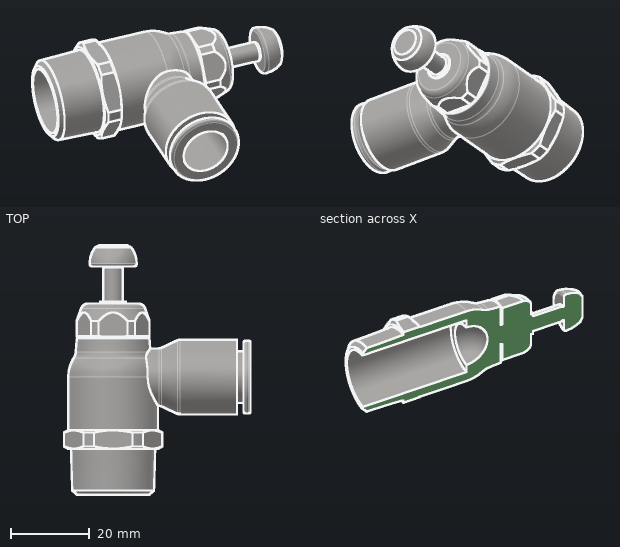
import cadquery as cq
import math


full_turn = 360
hex_sides = 6

thread_end = -29.85
thread_chamfer_top = -28.7
thread_chamfer_radius = 9.1
thread_end_radius = 10.4
thread_root_radius = 10.7
collar_bottom = -18.15
collar_top = -13.45
collar_flats = 23.0
collar_corner_radius = 12.5
collar_face_radius = 11.4
collar_chamfer = 0.6

body_radius = 11.4
shoulder_bottom = 0.0
shoulder_top = 4.8
shoulder_top_radius = 10.0
throat_bottom = 6.3
throat_bottom_radius = 9.5
body_top = 9.95
body_top_radius = 9.25
body_top_chamfer = 0.4
body_top_chamfer_width = 0.15

cap_neck_radius = 3.2
cap_bottom = 10.3
cap_cone_bottom = 14.2
cap_cone_top = 17.35
cap_top = 18.65
cap_flats = 17.0
cap_corner_radius = 9.25
cap_shoulder_radius = 8.15
cap_top_radius = 6.6

stem_flange_radius = 3.3
stem_flange_top = 19.2
stem_radius = 2.5
stem_top = 27.7
stem_groove_radius = 2.25
knob_bottom = 28.0
knob_radius = 6.0
knob_rim_radius = 5.25
knob_rim_top = 28.75
knob_shoulder = 32.8
knob_shoulder_radius = 4.65
knob_top = 33.45
knob_top_radius = 3.4

branch_neck_radius = 7.3
branch_cone_start = 11.95
branch_cone_end = 16.6
branch_radius = 9.5
branch_blend_radius = 1.7
branch_end = 31.4
release_neck_radius = 6.6
release_start = 33.0
release_end = 34.85
release_radius = 9.25
release_edge = 0.6

main_bore_radius = 8.3
main_bore_floor = 0.0
branch_bore_radius = 6.0


def revolve_about_y(outline):
    """Revolve a closed radius/station outline about the main axis."""
    return outline.close().revolve(full_turn, (0, 0, 0), (0, 1, 0))


def hex_prism(flats, bottom, top):
    """Hexagon along Y with one pair of flats facing +Z and -Z."""
    corner_diameter = flats / math.cos(math.pi / hex_sides)
    return (
        cq.Workplane("XZ", origin=(0, bottom, 0))
        .polygon(hex_sides, corner_diameter)
        .extrude(bottom - top)
    )


def make_threaded_end():
    return revolve_about_y(
        cq.Workplane("XY")
        .moveTo(0, thread_end)
        .lineTo(thread_chamfer_radius, thread_end)
        .lineTo(thread_end_radius, thread_chamfer_top)
        .lineTo(thread_root_radius, collar_bottom)
        .lineTo(0, collar_bottom)
    )


def make_collar():
    turned = revolve_about_y(
        cq.Workplane("XY")
        .moveTo(0, collar_bottom)
        .lineTo(collar_face_radius, collar_bottom)
        .lineTo(collar_corner_radius, collar_bottom + collar_chamfer)
        .lineTo(collar_corner_radius, collar_top - collar_chamfer)
        .lineTo(collar_face_radius, collar_top)
        .lineTo(0, collar_top)
    )
    return turned.intersect(hex_prism(collar_flats, collar_bottom, collar_top))


def make_body():
    return revolve_about_y(
        cq.Workplane("XY")
        .moveTo(0, collar_top)
        .lineTo(body_radius, collar_top)
        .lineTo(body_radius, shoulder_bottom)
        .tangentArcPoint((shoulder_top_radius, shoulder_top), relative=False)
        .tangentArcPoint((throat_bottom_radius, throat_bottom), relative=False)
        .lineTo(body_top_radius, body_top - body_top_chamfer)
        .lineTo(body_top_radius - body_top_chamfer_width, body_top)
        .lineTo(0, body_top)
    )


def make_cap():
    cap_neck = revolve_about_y(
        cq.Workplane("XY")
        .moveTo(0, body_top)
        .lineTo(cap_neck_radius, body_top)
        .lineTo(cap_neck_radius, cap_bottom)
        .lineTo(0, cap_bottom)
    )
    turned = revolve_about_y(
        cq.Workplane("XY")
        .moveTo(0, cap_bottom)
        .lineTo(cap_corner_radius, cap_bottom)
        .lineTo(cap_corner_radius, cap_cone_bottom)
        .lineTo(cap_shoulder_radius, cap_cone_top)
        .tangentArcPoint((cap_top_radius, cap_top), relative=False)
        .lineTo(0, cap_top)
    )
    return cap_neck.union(turned.intersect(hex_prism(cap_flats, cap_bottom, cap_top)))


def make_stem_and_knob():
    return revolve_about_y(
        cq.Workplane("XY")
        .moveTo(0, cap_top)
        .lineTo(stem_flange_radius, cap_top)
        .lineTo(stem_flange_radius, stem_flange_top)
        .lineTo(stem_radius, stem_flange_top)
        .lineTo(stem_radius, stem_top)
        .lineTo(stem_groove_radius, stem_top)
        .lineTo(stem_groove_radius, knob_bottom)
        .lineTo(knob_rim_radius, knob_bottom)
        .tangentArcPoint((knob_radius, knob_rim_top), relative=False)
        .tangentArcPoint((knob_shoulder_radius, knob_shoulder), relative=False)
        .lineTo(knob_top_radius, knob_top)
        .lineTo(0, knob_top)
    )


def make_branch():
    sleeve = (
        cq.Workplane("XY")
        .lineTo(0, branch_neck_radius)
        .lineTo(branch_cone_start, branch_neck_radius)
        .lineTo(branch_cone_end, branch_radius)
        .lineTo(branch_end, branch_radius)
        .lineTo(branch_end, 0)
        .close()
        .revolve(full_turn, (0, 0, 0), (1, 0, 0))
        .faces("%CONE")
        .edges("%CIRCLE")
        .fillet(branch_blend_radius)
    )
    release_neck = (
        cq.Workplane("YZ", origin=(branch_end, 0, 0))
        .circle(release_neck_radius)
        .extrude(release_start - branch_end)
    )
    release_flange = (
        cq.Workplane("YZ", origin=(release_start, 0, 0))
        .circle(release_radius)
        .extrude(release_end - release_start)
        .edges("%CIRCLE")
        .fillet(release_edge)
    )
    return sleeve.union(release_neck).union(release_flange)


def cut_passages(solid):
    main_bore = (
        cq.Workplane("XZ", origin=(0, main_bore_floor, 0))
        .circle(main_bore_radius)
        .extrude(main_bore_floor - thread_end)
    )
    branch_bore = cq.Workplane("YZ").circle(branch_bore_radius).extrude(release_end)
    bore_end = cq.Workplane("XY").sphere(branch_bore_radius)
    return solid.cut(main_bore).cut(branch_bore).cut(bore_end)


outer_shape = (
    make_body()
    .union(make_collar())
    .union(make_threaded_end())
    .union(make_cap())
    .union(make_stem_and_knob())
    .union(make_branch())
)
result = cut_passages(outer_shape)